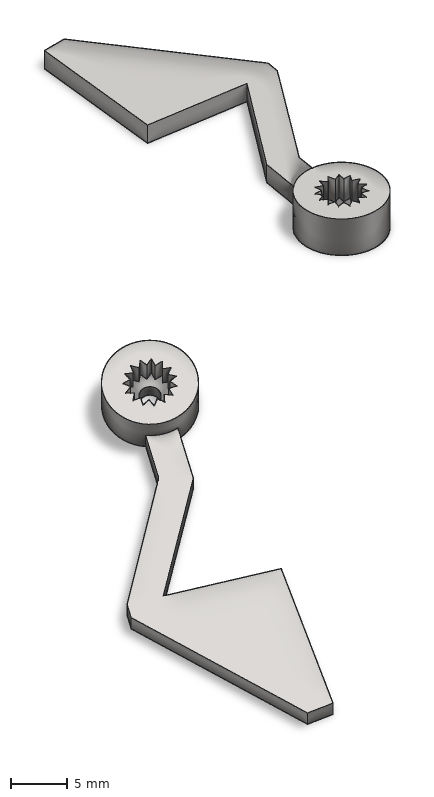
import cadquery as cq
import math

overall_length = 39.8
hub_diameter = 8.68
hub_radius = hub_diameter / 2
hub_height = 4.0
plate_thickness = hub_height / 2

screw_hole_diameter = 2.0
tooth_count = 15
tooth_tip_radius = 2.43
tooth_root_radius = 1.8
socket_depth = 2.5

arm_width = 3.0
arm_upper_bend_x = -8.55
arm_lower_bend_x = -9.4
blade_inner_x = -20.45
blade_left_x = hub_radius - overall_length
blade_left_y = -5.05
blade_top_left_x = -21.9
blade_top_y = 7.6
crook_y = 4.25
blade_inner_bottom_y = -6.65
blade_tip = (-35.05, -7.52)

rib_angle = -113.3
rib_width = 0.55
rib_projection = 0.05


def polar_point(radius, degrees):
    angle = math.radians(degrees)
    return (radius * math.cos(angle), radius * math.sin(angle))


def make_arm_and_blade():
    outline = [
        (0, arm_width / 2),
        (arm_upper_bend_x, arm_width / 2),
        (blade_inner_x, blade_top_y),
        (blade_top_left_x, blade_top_y),
        (blade_left_x, blade_left_y),
        blade_tip,
        (blade_inner_x, blade_inner_bottom_y),
        (blade_inner_x, crook_y),
        (arm_lower_bend_x, -arm_width / 2),
        (0, -arm_width / 2),
    ]
    return cq.Workplane("XY").polyline(outline).close().extrude(plate_thickness)


def make_hub_rib():
    half_angle = math.degrees(math.asin(rib_width / 2 / hub_radius))
    outline = [
        (0, 0),
        polar_point(hub_radius, rib_angle - half_angle),
        polar_point(hub_radius + rib_projection, rib_angle),
        polar_point(hub_radius, rib_angle + half_angle),
    ]
    return cq.Workplane("XY").polyline(outline).close().extrude(plate_thickness)


def make_socket():
    half_pitch = 180 / tooth_count
    first_tip_angle = -90
    outline = []
    for tooth in range(tooth_count):
        tip_angle = first_tip_angle + 2 * tooth * half_pitch
        outline.append(polar_point(tooth_tip_radius, tip_angle))
        outline.append(polar_point(tooth_root_radius, tip_angle + half_pitch))
    socket_floor = hub_height - socket_depth
    socket = cq.Workplane("XY").workplane(offset=socket_floor).polyline(outline).close()
    return socket.extrude(socket_depth)


hub = cq.Workplane("XY").circle(hub_radius).extrude(hub_height)
screw_hole = cq.Workplane("XY").circle(screw_hole_diameter / 2).extrude(hub_height)

result = hub.union(make_arm_and_blade()).union(make_hub_rib())
result = result.cut(make_socket()).cut(screw_hole)